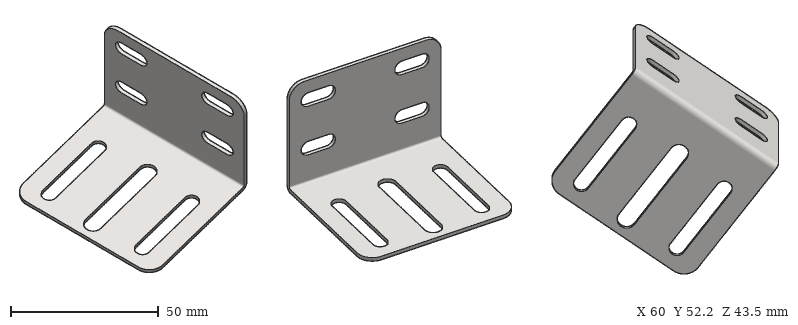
import cadquery as cq

width = 60.0
depth = 52.25
height = 43.5
thickness = 1.5
inner_bend_radius = 0.8
outer_bend_radius = inner_bend_radius + thickness
corner_radius = 6.0

wall_slot_length = 13.5
wall_slot_width = 5.5
wall_slot_spacing_x = 37.0
wall_slot_spacing_z = 20.0
wall_slot_top_margin = 8.0

base_slot_front_margin = 21.0
side_slot_length = 32.5
side_slot_width = 5.5
side_slot_spacing = 40.0
middle_slot_length = 36.5
middle_slot_width = 6.5

front_y = -depth / 2
back_y = depth / 2


def bent_sheet():
    """L-shaped sheet with a rounded bend and rounded free corners."""
    sheet = (
        cq.Workplane("YZ")
        .moveTo(front_y, 0)
        .lineTo(back_y, 0)
        .lineTo(back_y, height)
        .lineTo(back_y - thickness, height)
        .lineTo(back_y - thickness, thickness)
        .lineTo(front_y, thickness)
        .close()
        .extrude(width / 2, both=True)
    )
    outer_edge = cq.selectors.NearestToPointSelector((0, back_y, 0))
    sheet = sheet.edges(outer_edge).fillet(outer_bend_radius)
    inner_edge = cq.selectors.NearestToPointSelector((0, back_y - thickness, thickness))
    sheet = sheet.edges(inner_edge).fillet(inner_bend_radius)
    sheet = sheet.faces("<Y").edges("|Z").fillet(corner_radius)
    return sheet.faces(">Z").edges("|Y").fillet(corner_radius)


def wall_slots():
    """Horizontal slot cutters through the upright wall."""
    middle_z = height - wall_slot_top_margin - wall_slot_spacing_z / 2
    return (
        cq.Workplane("XZ", origin=(0, back_y, middle_z))
        .rarray(wall_slot_spacing_x, wall_slot_spacing_z, 2, 2)
        .slot2D(wall_slot_length, wall_slot_width)
        .extrude(thickness)
    )


def base_slot(x, length, slot_width):
    """Slot cutter through the base, running along Y."""
    return (
        cq.Workplane("XY", origin=(x, front_y + base_slot_front_margin, 0))
        .slot2D(length, slot_width, 90)
        .extrude(thickness)
    )


result = bent_sheet().cut(wall_slots())
result = result.cut(base_slot(0, middle_slot_length, middle_slot_width))
for side in (-1, 1):
    side_x = side * side_slot_spacing / 2
    result = result.cut(base_slot(side_x, side_slot_length, side_slot_width))